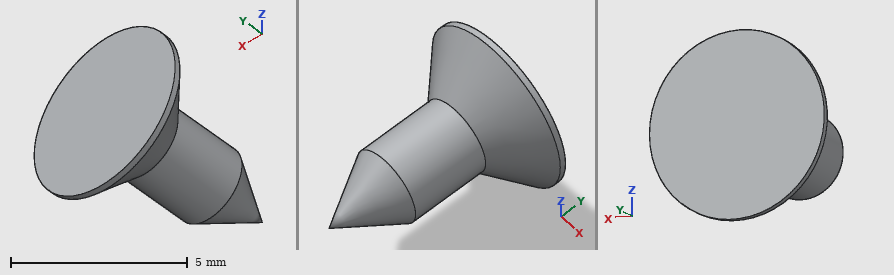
import cadquery as cq
import math

total_length = 6.5
head_diameter = 5.5
shank_diameter = 2.5
rim_thickness = 0.2
head_half_angle = 45.0
tip_half_angle = 30.0

head_radius = head_diameter / 2
shank_radius = shank_diameter / 2
cone_length = (head_radius - shank_radius) / math.tan(math.radians(head_half_angle))
tip_length = shank_radius / math.tan(math.radians(tip_half_angle))

rim_y = -rim_thickness
shank_start_y = rim_y - cone_length
point_y = -total_length
tip_start_y = point_y + tip_length

profile = (
    cq.Workplane("XY")
    .moveTo(0, 0)
    .lineTo(head_radius, 0)
    .lineTo(head_radius, rim_y)
    .lineTo(shank_radius, shank_start_y)
    .lineTo(shank_radius, tip_start_y)
    .lineTo(0, point_y)
    .close()
)

result = profile.revolve(360, (0, 0), (0, 1))